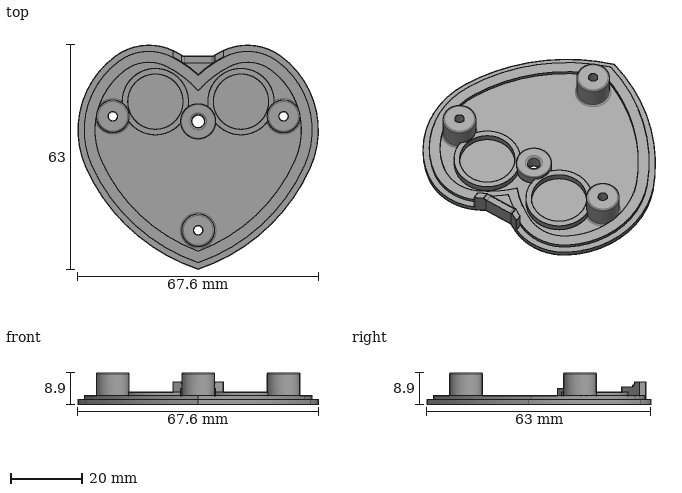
import cadquery as cq
import math

half_width = 33.8
lobe_top_y = 62.95
notch_radius = 34.6
lobe_radius = 15.9
side_radius = 25.8
lower_radius = 52.9
notch_joint_angle = math.radians(116.8)
lobe_joint_angle = math.radians(53.7)
lower_joint_angle = math.radians(-24.2)

plate_top = 1.5
floor_z = plate_top
rim_top = 2.5
ring_top = 3.5
center_boss_top = 4.5
tab_notch_top = 5.0
tab_bridge_top = 5.4
tab_wall_top = 6.35
post_top = 8.9

rim_inset = 1.75
rim_width = 3.05

ring_x = 12.0
ring_y = 47.1
ring_outer_radius = 9.3
ring_inner_radius = 7.8

post_x = 24.0
upper_post_y = 42.95
lower_post_y = 10.95
post_radius = 4.6
post_top_fillet = 0.4
post_base_fillet = 0.4
post_hole_radius = 1.3

center_boss_y = 41.55
center_boss_radius = 4.9
center_boss_fillet = 0.2
center_hole_radius = 1.75
center_hole_fillet = 0.6

tab_half_width = 7.1
tab_wall_inner_x = 4.7
tab_bridge_half_width = 3.85
tab_back_y = 59.85
tab_step_y = 57.9
tab_clearance = 0.15

arc_rise = 1 - math.sqrt(0.5)

post_points = [(-post_x, upper_post_y), (post_x, upper_post_y), (0, lower_post_y)]


def polar(center, radius, angle):
    return (center[0] + radius * math.cos(angle), center[1] + radius * math.sin(angle))


side_center = (
    half_width - side_radius,
    lobe_top_y - lobe_radius - (side_radius - lobe_radius) * math.sin(lobe_joint_angle),
)
lobe_center = polar(side_center, side_radius - lobe_radius, lobe_joint_angle)
notch_center = polar(lobe_center, lobe_radius - notch_radius, notch_joint_angle)
lower_center = polar(side_center, side_radius - lower_radius, lower_joint_angle)


def notch_y(inset):
    return notch_center[1] + math.sqrt((notch_radius - inset) ** 2 - notch_center[0] ** 2)


def tip_y(inset):
    return lower_center[1] - math.sqrt((lower_radius - inset) ** 2 - lower_center[0] ** 2)


def heart(inset, bottom, top):
    """Heart prism whose outline lies the given distance inside the plate outline."""
    notch = (0, notch_y(inset))
    tip = (0, tip_y(inset))
    notch_start_angle = math.atan2(notch[1] - notch_center[1], -notch_center[0])
    lower_end_angle = math.atan2(tip[1] - lower_center[1], -lower_center[0])
    arcs = [
        (notch_center, notch_radius, notch_start_angle, notch_joint_angle),
        (lobe_center, lobe_radius, notch_joint_angle, lobe_joint_angle),
        (side_center, side_radius, lobe_joint_angle, lower_joint_angle),
        (lower_center, lower_radius, lower_joint_angle, lower_end_angle),
    ]
    half = cq.Workplane("XY", origin=(0, 0, bottom)).moveTo(*notch)
    for center, radius, start, end in arcs:
        middle_point = polar(center, radius - inset, (start + end) / 2)
        half = half.threePointArc(middle_point, polar(center, radius - inset, end))
    half = half.close().extrude(top - bottom)
    return half.union(half.mirror("YZ"))


def cylinder(x, y, radius, bottom, top):
    return cq.Workplane("XY", origin=(x, y, bottom)).circle(radius).extrude(top - bottom)


def slab(half_x, front, back, bottom, top):
    """Box centered on X = 0 between two Y positions and two heights."""
    box = cq.Workplane().box(2 * half_x, back - front, top - bottom, centered=(True, False, False))
    return box.translate((0, front, bottom))


def post(x, y):
    """Round post with a rounded top and a concave fillet where it meets the floor."""
    base_bulge = post_base_fillet * arc_rise
    top_bulge = post_top_fillet * arc_rise
    profile = (
        cq.Workplane("XZ")
        .lineTo(post_radius + post_base_fillet, 0)
        .lineTo(post_radius + post_base_fillet, floor_z)
        .threePointArc(
            (post_radius + base_bulge, floor_z + base_bulge),
            (post_radius, floor_z + post_base_fillet),
        )
        .lineTo(post_radius, post_top - post_top_fillet)
        .threePointArc(
            (post_radius - top_bulge, post_top - top_bulge),
            (post_radius - post_top_fillet, post_top),
        )
        .lineTo(0, post_top)
        .close()
    )
    return profile.revolve(360, (0, 0), (0, 1)).translate((x, y, 0))


def center_hole():
    """Revolved cutter for the center hole, whose upper mouth flares out with a convex round."""
    mouth_radius = center_hole_radius + center_hole_fillet
    mouth_bulge = center_hole_fillet * arc_rise
    profile = (
        cq.Workplane("XZ")
        .lineTo(center_hole_radius, 0)
        .lineTo(center_hole_radius, center_boss_top - center_hole_fillet)
        .threePointArc(
            (center_hole_radius + mouth_bulge, center_boss_top - mouth_bulge),
            (mouth_radius, center_boss_top),
        )
        .lineTo(0, center_boss_top)
        .close()
    )
    return profile.revolve(360, (0, 0), (0, 1)).translate((0, center_boss_y, 0))


def tab():
    """Tab in the notch: two high walls, a lower bridge between them and a lower notch filler."""
    arc_radius = tab_wall_inner_x - tab_bridge_half_width
    arc_bulge = arc_radius * arc_rise
    arc_z = tab_bridge_top + arc_radius
    front_y = notch_y(rim_inset)
    profile = (
        cq.Workplane("XZ", origin=(0, lobe_top_y, 0))
        .moveTo(-tab_half_width, 0)
        .lineTo(tab_half_width, 0)
        .lineTo(tab_half_width, tab_wall_top)
        .lineTo(tab_wall_inner_x, tab_wall_top)
        .lineTo(tab_wall_inner_x, arc_z)
        .threePointArc(
            (tab_wall_inner_x - arc_bulge, tab_bridge_top + arc_bulge),
            (tab_bridge_half_width, tab_bridge_top),
        )
        .lineTo(-tab_bridge_half_width, tab_bridge_top)
        .threePointArc(
            (-tab_wall_inner_x + arc_bulge, tab_bridge_top + arc_bulge),
            (-tab_wall_inner_x, arc_z),
        )
        .lineTo(-tab_wall_inner_x, tab_wall_top)
        .lineTo(-tab_half_width, tab_wall_top)
        .close()
    )
    block = profile.extrude(lobe_top_y - front_y)
    bridge_zone = slab(tab_half_width, front_y, tab_back_y, 0, tab_wall_top)
    notch_step = slab(tab_bridge_half_width, front_y, tab_step_y, tab_notch_top, tab_wall_top)
    block = block.intersect(heart(0, 0, tab_wall_top).union(bridge_zone))
    return block.cut(notch_step).cut(heart(rim_inset - tab_clearance, plate_top, tab_wall_top))


body = heart(0, 0, plate_top).union(heart(rim_inset, 0, rim_top))
body = body.cut(heart(rim_inset + rim_width, floor_z, rim_top))

for x in (-ring_x, ring_x):
    body = body.union(cylinder(x, ring_y, ring_outer_radius, 0, ring_top))
for x in (-ring_x, ring_x):
    body = body.cut(cylinder(x, ring_y, ring_inner_radius, floor_z, ring_top))

for x, y in post_points:
    body = body.union(post(x, y))
center_boss = cylinder(0, center_boss_y, center_boss_radius, 0, center_boss_top)
center_boss = center_boss.faces(">Z").edges().fillet(center_boss_fillet)
body = body.union(center_boss)

body = body.union(tab())

for x, y in post_points:
    body = body.cut(cylinder(x, y, post_hole_radius, 0, post_top))
body = body.cut(center_hole())

result = body